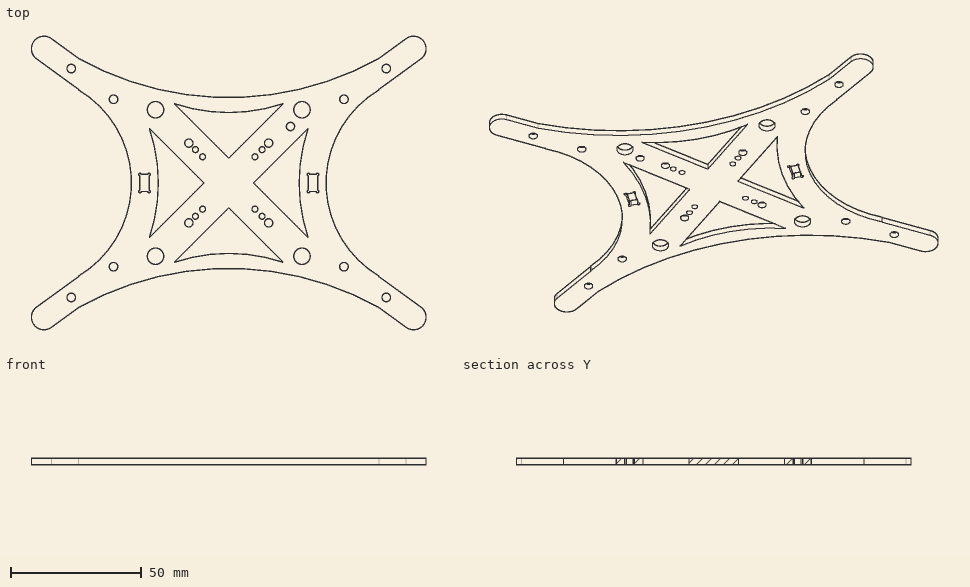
import cadquery as cq
import math

thickness = 2.5

arm_angle = math.radians(36)
arm_width = 9.65
tip_distance = 87.33

scoop_y_edge = 32.7
scoop_y_radius = 117.6
scoop_x_centre = 78.65
scoop_x_radius = scoop_x_centre * math.sin(arm_angle) - arm_width / 2

brace_width = 13.4
window_arc_edge = 26.87
window_arc_radius = 65.0

arm_hole_diameter = 3.2
arm_hole_inner_distance = 54.45
arm_hole_pitch = 20.0
access_hole_diameter = 6.2
access_hole_offset = 28.0
brace_holes = [
    (30.5 / 2, 3.1),
    (25.5 / 2, 2.2),
    (20.0 / 2, 2.2),
]
extra_hole_centre = (23.6, 21.6)
extra_hole_diameter = 3.1

slot_centre_x = 32.2
slot_length_x = 3.5
slot_length_y = 6.5
slot_relief_diameter = 1.0

SIGNS = (-1, 1)
QUADRANTS = [(sx, sy) for sx in SIGNS for sy in SIGNS]


def mirrored(x, y):
    """The point repeated in all four quadrants."""
    return [(sx * x, sy * y) for sx, sy in QUADRANTS]


def along_arm(distance):
    """Point on the axis of the arm in the +X +Y quadrant."""
    return distance * math.cos(arm_angle), distance * math.sin(arm_angle)


def discs(points, diameter):
    """Full-thickness cylinders at the given points."""
    return cq.Workplane("XY").pushPoints(points).circle(diameter / 2).extrude(thickness)


def make_arms():
    """Two crossing bars with round ends, each forming a pair of opposite arms."""
    bar_length = 2 * tip_distance + arm_width
    angle = math.degrees(arm_angle)
    bar = cq.Workplane("XY").slot2D(bar_length, arm_width, angle).extrude(thickness)
    return bar.union(bar.mirror("XZ"))


def make_body():
    """Rectangular blank scooped out on all four sides."""
    y_centre = scoop_y_edge + scoop_y_radius
    chord_middle = y_centre * math.sin(arm_angle)
    chord_offset = y_centre * math.cos(arm_angle) - arm_width / 2
    axis_x, axis_y = along_arm(chord_middle - math.sqrt(scoop_y_radius**2 - chord_offset**2))
    blank_x = axis_x - arm_width / 2 * math.sin(arm_angle)
    blank_y = axis_y + arm_width / 2 * math.cos(arm_angle)
    body = cq.Workplane("XY").rect(2 * blank_x, 2 * blank_y).extrude(thickness)
    body = body.cut(discs([(0, s * y_centre) for s in SIGNS], 2 * scoop_y_radius))
    return body.cut(discs([(s * scoop_x_centre, 0) for s in SIGNS], 2 * scoop_x_radius))


def make_window():
    """Window on the +X side: a right-angled corner towards the centre and a curved far side."""
    apex = brace_width / math.sqrt(2)
    arc_centre = window_arc_edge + window_arc_radius
    half_span = arc_centre - apex
    end_y = (half_span - math.sqrt(2 * window_arc_radius**2 - half_span**2)) / 2
    end_x = apex + end_y
    return (
        cq.Workplane("XY")
        .moveTo(apex, 0)
        .lineTo(end_x, -end_y)
        .threePointArc((window_arc_edge, 0), (end_x, end_y))
        .close()
        .extrude(thickness)
    )


def make_holes():
    """All round holes as one cutter."""
    holes = discs(mirrored(access_hole_offset, access_hole_offset), access_hole_diameter)
    for distance in (arm_hole_inner_distance, arm_hole_inner_distance + arm_hole_pitch):
        holes = holes.union(discs(mirrored(*along_arm(distance)), arm_hole_diameter))
    for offset, diameter in brace_holes:
        holes = holes.union(discs(mirrored(offset, offset), diameter))
    return holes.union(discs([extra_hole_centre], extra_hole_diameter))


def make_slots():
    """Strap slots on the +X and -X sides, with a small relief circle on every corner."""
    centres = [(s * slot_centre_x, 0) for s in SIGNS]
    slots = cq.Workplane("XY").pushPoints(centres).rect(slot_length_x, slot_length_y).extrude(thickness)
    for side in SIGNS:
        corner_x = slot_centre_x + side * slot_length_x / 2
        slots = slots.union(discs(mirrored(corner_x, slot_length_y / 2), slot_relief_diameter))
    return slots


result = make_arms().union(make_body())
for quarter_turn in range(4):
    result = result.cut(make_window().rotate((0, 0, 0), (0, 0, 1), 90 * quarter_turn))
result = result.cut(make_holes()).cut(make_slots())